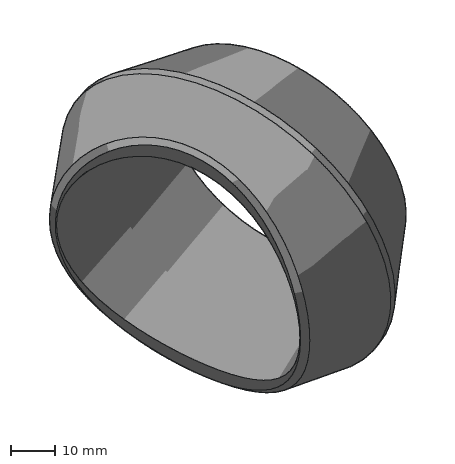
import cadquery as cq
import math

band_radius = 44.05
band_back_depth = 22.3
band_width = 1.85
band_front_depth = band_back_depth + band_width
back_outer_radius = 33.1
bore_radius = 30.05

bore_depth = band_front_depth
mouth_radius = 32.5

total_depth = 44.8
lip_half_x = 32.8
lip_half_z = 36.65
saddle_sag = 6.4
saddle_radius = (lip_half_x**2 + saddle_sag**2) / (2 * saddle_sag)

bevel_half_x = 34.8
bevel_half_z = 38.0
bevel_tip_depth = 44.05
front_cone_slope = (bevel_tip_depth - band_front_depth) / (band_radius - bevel_half_x)

curve_points = 48


def closed_curve(half_x, half_z, depth_at):
    """Closed curve, elliptical when seen along Y, whose depth follows depth_at(x, z)."""
    angles = [2 * math.pi * i / curve_points for i in range(curve_points)]
    points = []
    for angle in angles:
        x = half_x * math.sin(angle)
        z = -half_z * math.cos(angle)
        points.append(cq.Vector(x, -depth_at(x, z), z))
    parameters = angles + [2 * math.pi]
    return cq.Edge.makeSpline(points, periodic=True, parameters=parameters)


def circle(radius, depth):
    center = cq.Vector(0, -depth, 0)
    return cq.Edge.makeCircle(radius, center, cq.Vector(0, -1, 0))


def saddle_depth(x, z):
    """Depth on the cylinder along Z that the front lip sits on."""
    hollow_depth = total_depth - saddle_sag
    return hollow_depth + saddle_radius - math.sqrt(saddle_radius**2 - x**2)


def front_cone_depth(x, z):
    """Depth on the cone that narrows from the band towards the front."""
    return band_front_depth + front_cone_slope * (band_radius - math.hypot(x, z))


rings = [
    circle(bore_radius, 0),
    circle(bore_radius, bore_depth),
    closed_curve(mouth_radius, mouth_radius, saddle_depth),
    closed_curve(lip_half_x, lip_half_z, saddle_depth),
    closed_curve(bevel_half_x, bevel_half_z, front_cone_depth),
    circle(band_radius, band_front_depth),
    circle(band_radius, band_back_depth),
    circle(back_outer_radius, 0),
]

faces = [cq.Face.makeRuledSurface(start, end) for start, end in zip(rings, rings[1:])]

back_outline = cq.Wire.assembleEdges([rings[-1]])
back_bore = cq.Wire.assembleEdges([rings[0]])
faces.append(cq.Face.makeFromWires(back_outline, [back_bore]))

body = cq.Solid.makeSolid(cq.Shell.makeShell(faces)).fix()
result = cq.Workplane("XY").newObject([body])